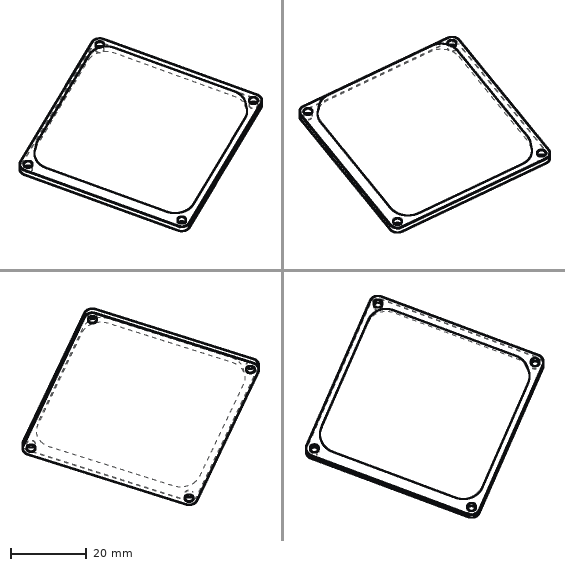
import cadquery as cq

plate_size = 49.5
plate_height = 2.05
plate_corner_radius = 2.3
plate_edge_chamfer = 0.1
hole_diameter = 2.2
hole_spacing = plate_size - 2 * plate_corner_radius

total_height = 5.0
pad_height = total_height - plate_height
pad_margin_x = 1.75
pad_margin_y = 3.15
pad_length = plate_size - 2 * pad_margin_x
pad_width = plate_size - 2 * pad_margin_y
pad_corner_radius = 5.45
pad_draft_angle = 8.0
pad_top_fillet = 0.5


def make_plate():
    """Square plate with rounded corners, corner through holes and lightly chamfered edges."""
    return (
        cq.Workplane("XY")
        .rect(plate_size, plate_size)
        .extrude(plate_height)
        .edges("|Z")
        .fillet(plate_corner_radius)
        .faces(">Z")
        .workplane()
        .rect(hole_spacing, hole_spacing, forConstruction=True)
        .vertices()
        .hole(hole_diameter)
        .faces("<Z or >Z")
        .edges()
        .chamfer(plate_edge_chamfer)
    )


def make_pad():
    """Rounded rectangle that narrows towards its softened top edge."""
    outline = cq.Sketch().rect(pad_length, pad_width).vertices().fillet(pad_corner_radius)
    return (
        cq.Workplane("XY", origin=(0, 0, plate_height))
        .placeSketch(outline)
        .extrude(pad_height, taper=pad_draft_angle)
        .faces(">Z")
        .edges()
        .fillet(pad_top_fillet)
    )


result = make_plate().union(make_pad())